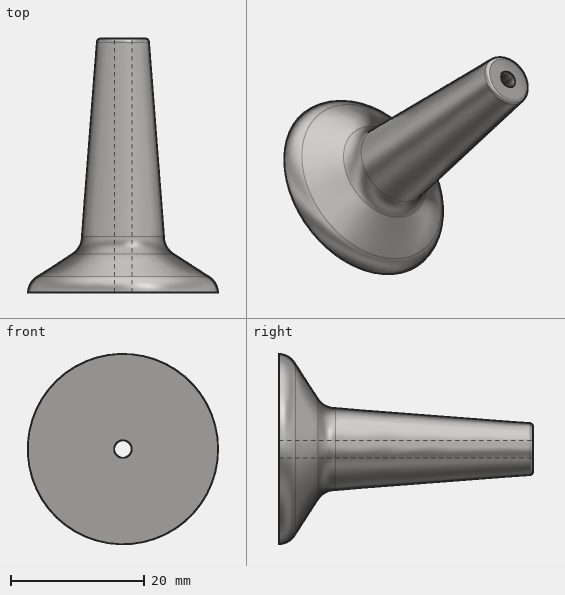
import cadquery as cq
import math

length = 38.1
base_radius = 14.3
bore_diameter = 2.6

rim_top_y = 2.45
rim_top_radius = 12.8
rim_arc_radius = 3.0
shoulder_top_y = 5.83
shoulder_top_radius = 7.55

stem_foot_y = 8.45
stem_foot_radius = 6.17
neck_arc_radius = 3.0
tip_edge_y = 37.55
tip_edge_radius = 3.92
tip_face_radius = 3.43
tip_arc_radius = 0.6


def arc_midpoint(start, end, radius):
    """Middle of the short arc that bulges to the right of start -> end."""
    dx = end[0] - start[0]
    dy = end[1] - start[1]
    chord = math.hypot(dx, dy)
    rise = radius - math.sqrt(radius**2 - (chord / 2) ** 2)
    mid_x = (start[0] + end[0]) / 2 + rise * dy / chord
    mid_y = (start[1] + end[1]) / 2 - rise * dx / chord
    return (mid_x, mid_y)


rim_bottom = (base_radius, 0)
rim_top = (rim_top_radius, rim_top_y)
shoulder_top = (shoulder_top_radius, shoulder_top_y)
stem_foot = (stem_foot_radius, stem_foot_y)
tip_edge = (tip_edge_radius, tip_edge_y)
tip_face = (tip_face_radius, length)

profile = (
    cq.Workplane("XY")
    .lineTo(*rim_bottom)
    .threePointArc(arc_midpoint(rim_bottom, rim_top, rim_arc_radius), rim_top)
    .lineTo(*shoulder_top)
    .threePointArc(arc_midpoint(stem_foot, shoulder_top, neck_arc_radius), stem_foot)
    .lineTo(*tip_edge)
    .threePointArc(arc_midpoint(tip_edge, tip_face, tip_arc_radius), tip_face)
    .lineTo(0, length)
    .close()
)
body = profile.revolve(360, (0, 0, 0), (0, 1, 0))

bore = cq.Workplane("XZ").circle(bore_diameter / 2).extrude(-length)

result = body.cut(bore)